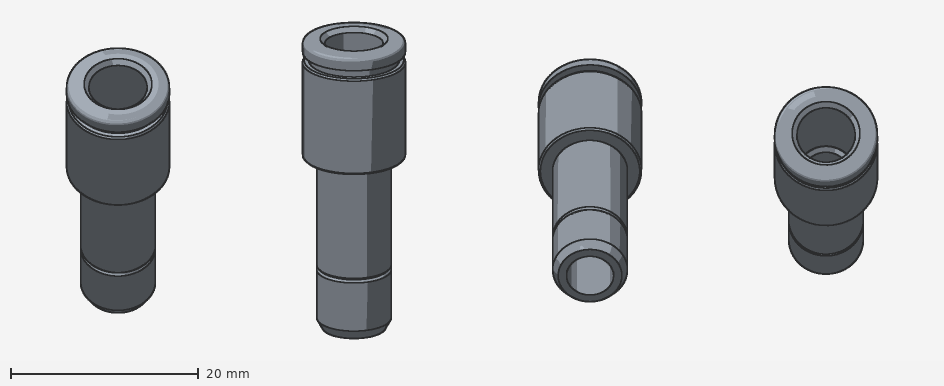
import cadquery as cq

TOTAL_HEIGHT = 33.0
OUTER_RADIUS = 11.0 / 2

SOCKET_BOTTOM = 19.55
SOCKET_TOP = 30.5
SOCKET_CHAMFER = 0.2
SHANK_RADIUS = 8.0 / 2
TIP_HEIGHT = 1.1
TIP_INSET = 0.6
GROOVE_CENTER = 6.85
GROOVE_HALF_WIDTH = 0.25
GROOVE_DEPTH = 0.25
BORE_RADIUS = 5.0 / 2
FUNNEL_RADIUS = 6.1 / 2
FUNNEL_DEPTH = 0.33
SEAT_HEIGHT = 21.0
SEAT_RADIUS = 9.6 / 2

SLEEVE_RADIUS = 9.5 / 2
SLEEVE_BORE_RADIUS = 6.2 / 2
FLANGE_BOTTOM = 31.48
FLANGE_ROUND = 0.45
RIM_RADIUS = 8.65 / 2
RIM_DROP = 0.13
MOUTH_RADIUS = 7.23 / 2
MOUTH_DEPTH = MOUTH_RADIUS - SLEEVE_BORE_RADIUS


def cylinder(radius, bottom, top):
    """Cylinder on the Z axis between two heights."""
    return cq.Workplane("XY").workplane(offset=bottom).circle(radius).extrude(top - bottom)


def revolve_profile(profile):
    """Turn a closed (radius, height) profile around the Z axis."""
    return profile.close().revolve(360, (0, 0, 0), (0, 1, 0))


def make_shank():
    """Solid shank with a tapered tip and a V groove."""
    profile = cq.Workplane("XZ").polyline([
        (0, 0),
        (SHANK_RADIUS - TIP_INSET, 0),
        (SHANK_RADIUS, TIP_HEIGHT),
        (SHANK_RADIUS, GROOVE_CENTER - GROOVE_HALF_WIDTH),
        (SHANK_RADIUS - GROOVE_DEPTH, GROOVE_CENTER),
        (SHANK_RADIUS, GROOVE_CENTER + GROOVE_HALF_WIDTH),
        (SHANK_RADIUS, SOCKET_BOTTOM),
        (0, SOCKET_BOTTOM),
    ])
    return revolve_profile(profile)


def make_funnel():
    """Cone that leads from the socket floor into the through bore."""
    profile = cq.Workplane("XZ").polyline([
        (0, SEAT_HEIGHT - FUNNEL_DEPTH),
        (BORE_RADIUS, SEAT_HEIGHT - FUNNEL_DEPTH),
        (FUNNEL_RADIUS, SEAT_HEIGHT),
        (0, SEAT_HEIGHT),
    ])
    return revolve_profile(profile)


def make_housing():
    """Shank and chamfered socket, bored through and counterbored for the sleeve."""
    socket = cylinder(OUTER_RADIUS, SOCKET_BOTTOM, SOCKET_TOP).edges().chamfer(SOCKET_CHAMFER)
    through_bore = cylinder(BORE_RADIUS, 0, SOCKET_TOP)
    sleeve_seat = cylinder(SEAT_RADIUS, SEAT_HEIGHT, SOCKET_TOP)
    return make_shank().union(socket).cut(through_bore).cut(make_funnel()).cut(sleeve_seat)


def make_release_sleeve():
    """Flanged ring with a rounded, slightly sloping head and a countersunk mouth."""
    shoulder_height = TOTAL_HEIGHT - RIM_DROP
    profile = (
        cq.Workplane("XZ")
        .moveTo(SLEEVE_BORE_RADIUS, SEAT_HEIGHT)
        .lineTo(SLEEVE_RADIUS, SEAT_HEIGHT)
        .lineTo(SLEEVE_RADIUS, FLANGE_BOTTOM)
        .lineTo(OUTER_RADIUS, FLANGE_BOTTOM)
        .lineTo(OUTER_RADIUS, shoulder_height - FLANGE_ROUND)
        .radiusArc((OUTER_RADIUS - FLANGE_ROUND, shoulder_height), -FLANGE_ROUND)
        .lineTo(RIM_RADIUS, TOTAL_HEIGHT)
        .lineTo(MOUTH_RADIUS, TOTAL_HEIGHT)
        .lineTo(SLEEVE_BORE_RADIUS, TOTAL_HEIGHT - MOUTH_DEPTH)
    )
    return revolve_profile(profile)


housing = make_housing()
release_sleeve = make_release_sleeve()

result = cq.Compound.makeCompound([housing.val(), release_sleeve.val()])